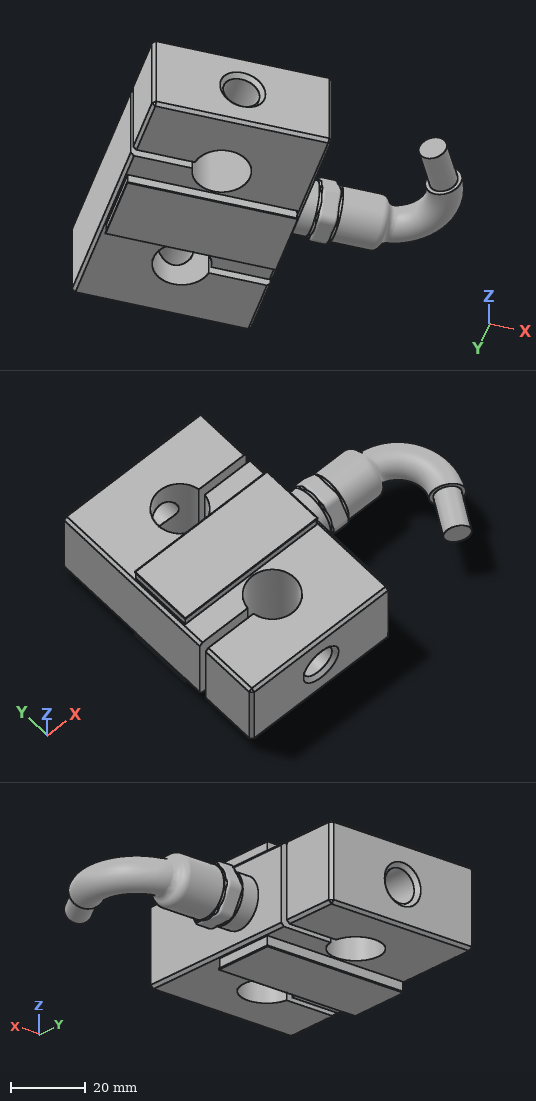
import cadquery as cq
import math

BLOCK_X = 50.2
BLOCK_Y = 75.7
BLOCK_Z = 24.6
BLOCK_CHAMFER = 0.9

RELIEF_DIAMETER = 15.9
RELIEF_OFFSET = 18.4
SLOT_WIDTH = 2.3

OVERALL_Z = 31.2
SKIN_X = 47.8
SKIN_Y = 20.1
SKIN_THICKNESS = 0.4
SKIN_OVERHANG = 0.2

BORE_DIAMETER = 10.2
BORE_MOUTH_DIAMETER = 12.7

GLAND_DIAMETER = 15.5
GLAND_START = BLOCK_X / 2 - BLOCK_CHAMFER
GLAND_END = 48.6
SHOULDER_END = 50.7
SHOULDER_ANGLE = 60.0
JOINT_FILLET = 2.0
JOINT_FROM = 50.9
JOINT_TO = 53.3

NUT_START = 30.6
NUT_LENGTH = 6.6
NUT_FLATS = 16.3
NUT_CORNER_RADIUS = 2.5
NUT_RIM_FILLET = 0.8
NUT_FOOT = 0.7
COLLAR_DIAMETER = 15.7

OVERALL_X = 93.5
SLEEVE_DIAMETER = 10.2
BEND_RADIUS = 13.55
BEND_ANGLE = 120.0
CABLE_DIAMETER = 7.85
CABLE_LENGTH = 12.8

BEND_START = OVERALL_X - BLOCK_X / 2 - SLEEVE_DIAMETER / 2 - BEND_RADIUS


def rod(diameter, x_start, x_end):
    """Cylinder on the X axis between two X positions."""
    return cq.Workplane("YZ", origin=(x_start, 0, 0)).circle(diameter / 2).extrude(x_end - x_start)


def make_block():
    """Chamfered block with relief holes, slots and bores in half-turn symmetry about Z."""
    block = cq.Workplane("XY").box(BLOCK_X, BLOCK_Y, BLOCK_Z).edges().chamfer(BLOCK_CHAMFER)
    for side in (1, -1):
        y = side * RELIEF_OFFSET
        relief = cq.Workplane("XY").center(0, y).circle(RELIEF_DIAMETER / 2).extrude(BLOCK_Z, both=True)
        slot = cq.Workplane("XY").box(BLOCK_X, SLOT_WIDTH, BLOCK_Z).translate((side * BLOCK_X / 2, y, 0))
        block = block.cut(relief).cut(slot).cut(make_bore(side))
    return block


def make_bore(side):
    """Countersunk bore from an end face into the nearest relief hole."""
    mouth_radius = BORE_MOUTH_DIAMETER / 2
    bore_radius = BORE_DIAMETER / 2
    face = BLOCK_Y / 2
    countersink_end = face - (mouth_radius - bore_radius)
    return (
        cq.Workplane("XY")
        .polyline([
            (0, side * face),
            (mouth_radius, side * face),
            (bore_radius, side * countersink_end),
            (bore_radius, side * RELIEF_OFFSET),
            (0, side * RELIEF_OFFSET),
        ])
        .close()
        .revolve(360, (0, 0, 0), (0, 1, 0))
    )


def make_plates():
    """Cover plates as one slab through the middle of the block, each with a slightly larger outer skin."""
    plate_x = SKIN_X - 2 * SKIN_OVERHANG
    plate_y = SKIN_Y - 2 * SKIN_OVERHANG
    plates = cq.Workplane("XY").box(plate_x, plate_y, OVERALL_Z)
    skin_z = (OVERALL_Z - SKIN_THICKNESS) / 2
    for side in (1, -1):
        skin = cq.Workplane("XY").box(SKIN_X, SKIN_Y, SKIN_THICKNESS).translate((0, 0, side * skin_z))
        plates = plates.union(skin)
    return plates


def make_gland():
    """Round gland body with a rounded shoulder and a cone, blended into the bent sleeve."""
    body_radius = GLAND_DIAMETER / 2
    slope = math.radians(SHOULDER_ANGLE)
    arc_radius = (SHOULDER_END - GLAND_END) / math.sin(slope)
    shoulder_radius = body_radius - arc_radius * (1 - math.cos(slope))
    cone_tip = SHOULDER_END + shoulder_radius / math.tan(slope)
    body = (
        cq.Workplane("XY")
        .moveTo(GLAND_START, 0)
        .lineTo(GLAND_START, body_radius)
        .lineTo(GLAND_END, body_radius)
        .tangentArcPoint((SHOULDER_END, shoulder_radius), relative=False)
        .lineTo(cone_tip, 0)
        .close()
        .revolve(360, (0, 0, 0), (1, 0, 0))
    )
    joint = cq.selectors.BoxSelector(
        (JOINT_FROM, -body_radius, -body_radius),
        (JOINT_TO, body_radius, body_radius),
    )
    return body.union(make_sleeve()).edges(joint).fillet(JOINT_FILLET)


def rounded_hexagon(inset, x_start, x_end):
    """Hexagonal prism with rounded corners, two of them along Y; its sides lie inset below the nut flats."""
    across_corners = (NUT_FLATS - 2 * inset) / math.cos(math.radians(30))
    return (
        cq.Workplane("YZ", origin=(x_start, 0, 0))
        .polygon(6, across_corners)
        .extrude(x_end - x_start)
        .edges("|X")
        .fillet(NUT_CORNER_RADIUS - inset)
    )


def make_nut():
    """Hexagonal nut with rounded rims, on a lower chamfered foot and a round collar."""
    nut_end = NUT_START + NUT_LENGTH
    hexagon = rounded_hexagon(0, NUT_START + NUT_FOOT, nut_end - NUT_FOOT)
    hexagon = hexagon.faces("<X or >X").edges().fillet(NUT_RIM_FILLET)
    foot = rounded_hexagon(NUT_FOOT, NUT_START, nut_end)
    foot = foot.faces("<X or >X").chamfer(NUT_FOOT)
    collar = rod(COLLAR_DIAMETER, NUT_START, nut_end)
    return hexagon.union(foot).union(collar)


def make_sleeve():
    """Sleeve that bends from +X through -Y and partly back."""
    return (
        cq.Workplane("YZ", origin=(BEND_START, 0, 0))
        .circle(SLEEVE_DIAMETER / 2)
        .revolve(BEND_ANGLE, (-BEND_RADIUS, 0.9, 0), (-BEND_RADIUS, 0, 0))
    )


def make_cable():
    """Straight cable that continues the end of the bend."""
    turn = math.radians(BEND_ANGLE)
    start = (
        BEND_START + BEND_RADIUS * math.sin(turn),
        BEND_RADIUS * (math.cos(turn) - 1),
        0,
    )
    direction = (math.cos(turn), -math.sin(turn), 0)
    plane = cq.Plane(origin=start, xDir=(0, 0, 1), normal=direction)
    return cq.Workplane(plane).circle(CABLE_DIAMETER / 2).extrude(CABLE_LENGTH)


result = (
    make_block()
    .union(make_plates())
    .union(make_gland())
    .union(make_nut())
    .union(make_cable())
)